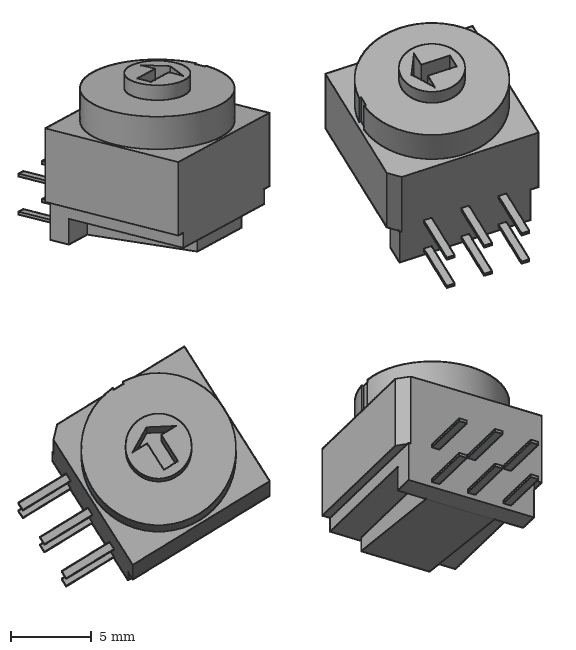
import cadquery as cq


total_length = 13.5
body_side = 10.0
total_height = 10.8

dial_diameter = 9.6
dial_height = 2.17
hub_diameter = 4.1
hub_height = 1.0
index_notch_width = 0.73
index_notch_depth = 0.15

arrow_depth = 2.0
arrow_tip_y = 1.4
arrow_shoulder_y = 0.51
arrow_tail_y = -1.45
arrow_head_width = 3.19
arrow_shaft_width = 1.03

body_bottom = 2.73
corner_chamfer = 0.7
base_width = 8.9
base_plate_bottom = 1.73
foot_length = 1.4

rib_end_gap = 0.34
rib_end_bottom = 0.73
rib_width = 4.86

pin_width = 0.54
pin_thickness = 0.2
pin_pitch = 2.54
pin_columns = 3
pin_rows = 2
lowest_pin_z = 0.46

half_side = body_side / 2
pin_length = total_length - body_side
hub_bottom = total_height - hub_height
dial_bottom = hub_bottom - dial_height
foot_end_x = -half_side + foot_length


def box_between(x_range, width, z_range):
    """Box centred on Y = 0 that spans the given X and Z ranges."""
    length = x_range[1] - x_range[0]
    height = z_range[1] - z_range[0]
    box = cq.Workplane("XY").box(length, width, height, centered=(False, True, False))
    return box.translate((x_range[0], 0, z_range[0]))


def make_housing():
    """Square housing with one vertical corner cut off at -X, +Y."""
    housing = box_between((-half_side, half_side), body_side, (body_bottom, dial_bottom))
    return housing.edges("|Z and <X and >Y").chamfer(corner_chamfer)


def make_base():
    """Narrower base plate with a deep foot at the pin end and a sloping rib behind it."""
    plate = box_between((-half_side, half_side), base_width, (base_plate_bottom, body_bottom))
    foot = box_between((-half_side, foot_end_x), base_width, (0, base_plate_bottom))
    rib_end_x = half_side - rib_end_gap
    rib_outline = [
        (foot_end_x, 0),
        (rib_end_x, rib_end_bottom),
        (rib_end_x, base_plate_bottom),
        (foot_end_x, base_plate_bottom),
    ]
    rib = cq.Workplane("XZ").polyline(rib_outline).close().extrude(rib_width / 2, both=True)
    return plate.union(foot).union(rib)


def make_knob():
    """Dial with an index notch at +Y, and a hub with an arrow recess pointing to the notch."""
    dial = cq.Workplane("XY").workplane(offset=dial_bottom).circle(dial_diameter / 2).extrude(dial_height)
    notch = (
        cq.Workplane("XY")
        .workplane(offset=dial_bottom)
        .center(0, dial_diameter / 2)
        .rect(index_notch_width, 2 * index_notch_depth)
        .extrude(dial_height)
    )
    hub = cq.Workplane("XY").workplane(offset=hub_bottom).circle(hub_diameter / 2).extrude(hub_height)
    half_head = arrow_head_width / 2
    half_shaft = arrow_shaft_width / 2
    arrow_outline = [
        (0, arrow_tip_y),
        (half_head, arrow_shoulder_y),
        (half_shaft, arrow_shoulder_y),
        (half_shaft, arrow_tail_y),
        (-half_shaft, arrow_tail_y),
        (-half_shaft, arrow_shoulder_y),
        (-half_head, arrow_shoulder_y),
    ]
    arrow = (
        cq.Workplane("XY")
        .workplane(offset=total_height)
        .polyline(arrow_outline)
        .close()
        .extrude(-arrow_depth)
    )
    return dial.cut(notch).union(hub).cut(arrow)


def make_pins():
    """Flat pins standing out of the -X face of the base and housing."""
    middle_x = -half_side - pin_length / 2
    first_y = -pin_pitch * (pin_columns - 1) / 2
    pin_centres = [
        (middle_x, first_y + column * pin_pitch, lowest_pin_z + row * pin_pitch)
        for row in range(pin_rows)
        for column in range(pin_columns)
    ]
    pin = cq.Solid.makeBox(pin_length, pin_width, pin_thickness)
    pin = pin.translate(cq.Vector(-pin_length / 2, -pin_width / 2, -pin_thickness / 2))
    return cq.Workplane("XY").pushPoints(pin_centres).eachpoint(pin, combine=True)


result = make_housing().union(make_base()).union(make_knob()).union(make_pins())